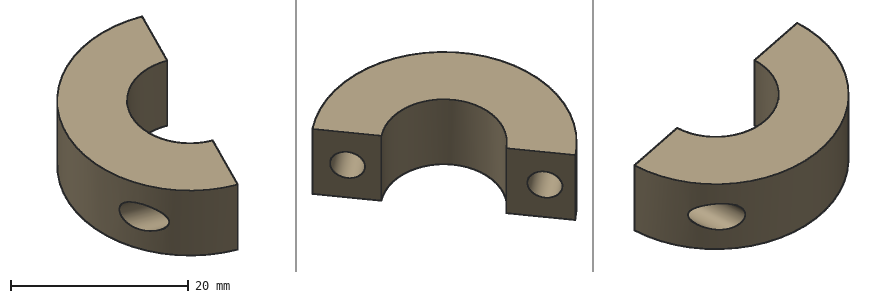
import cadquery as cq

outer_diameter = 30.0
bore_diameter = 14.22
width = 10.0
bolt_hole_diameter = 4.0
bolt_spacing = 22.5
bolt_pair_offset = -0.27

outer_radius = outer_diameter / 2
bore_radius = bore_diameter / 2


def half_ring():
    """Half ring on the -Y side of the split plane, centred on Z = 0."""
    return (
        cq.Workplane("XY")
        .moveTo(-outer_radius, 0)
        .threePointArc((0, -outer_radius), (outer_radius, 0))
        .lineTo(bore_radius, 0)
        .threePointArc((0, -bore_radius), (-bore_radius, 0))
        .close()
        .extrude(width / 2, both=True)
    )


def bolt_holes():
    """Through-hole cutters running from the split face toward -Y."""
    return (
        cq.Workplane("XZ")
        .pushPoints([(bolt_pair_offset + side * bolt_spacing / 2, 0) for side in (-1, 1)])
        .circle(bolt_hole_diameter / 2)
        .extrude(outer_radius)
    )


result = half_ring().cut(bolt_holes())